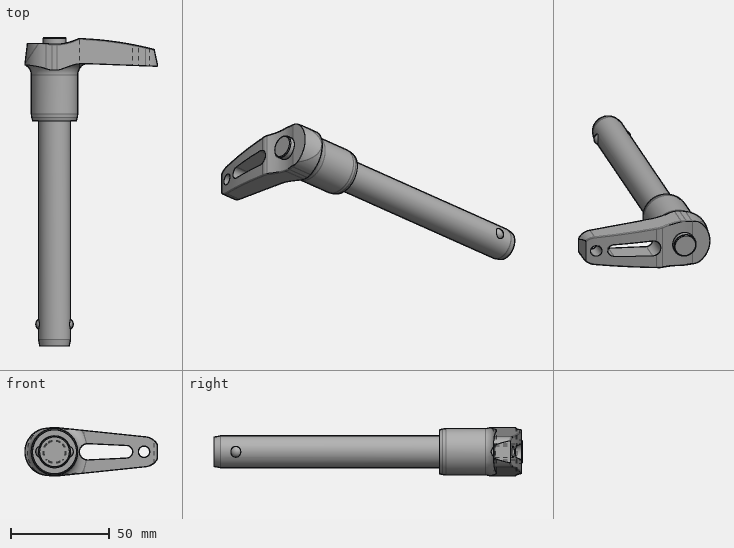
import cadquery as cq
import math

total_length = 156.2

shank_radius = 8.1
tip_radius = 7.5
tip_taper = 3.3
ball_radius = 3.0
ball_offset = 6.5
ball_from_tip = 11.1

collar_diameter = 23.6
collar_radius = collar_diameter / 2
collar_lip_radius = 11.5
collar_end_radius = 11.1
collar_lip_y = -38.7
collar_edge_y = -40.6
collar_end_y = -42.2

button_diameter = 11.7
button_radius = button_diameter / 2
button_chamfer = 0.5

hub_radius = 12.3
heel_x = -3.0
heel_radius = 12.0
tip_x = 45.3
handle_tip_radius = 7.7

blank_start_x = -15.6
heel_top_y = -3.0
dip_start_x = -4.7
dip_x = 0.5
dip_y = -3.5
crest_start = (11.7, -0.8)
crest_peak = (13.1, -0.5)
crest_end = (14.8, -0.6)
back_middle = (31.2, -2.2)
nose_top = (50.5, -6.1)
nose_bottom = (52.3, -14.7)
nose_round = 0.6
handle_bottom_y = -13.3
bottom_slope_x = 14.8
top_edge_round = 0.5

flare_radius = 5.6

heel_cone_x = -0.5
heel_cone_top_radius = 13.3
heel_cone_bottom_radius = 14.5

slot_start_x = 12.7
slot_start_radius = 4.0
slot_end_x = 39.5
slot_end_radius = 3.1
hole_radius = 2.8

core_top_y = -6.2

through_depth = 31.2


def along_pin(profile):
    """Revolve a (radius, y) profile about the pin axis."""
    return profile.close().revolve(360, (0, 0, 0), (0, 1, 0))


def tangent_hull(x_a, radius_a, x_b, radius_b):
    """Prism along -Y whose outline is two circles on the X axis joined by tangents."""
    sine = (radius_a - radius_b) / (x_b - x_a)
    cosine = math.sqrt(1 - sine**2)
    a_x, a_z = x_a + radius_a * sine, radius_a * cosine
    b_x, b_z = x_b + radius_b * sine, radius_b * cosine
    return (
        cq.Workplane("XZ")
        .moveTo(a_x, a_z)
        .lineTo(b_x, b_z)
        .threePointArc((x_b + radius_b, 0), (b_x, -b_z))
        .lineTo(a_x, -a_z)
        .threePointArc((x_a - radius_a, 0), (a_x, a_z))
        .close()
        .extrude(through_depth)
    )


def make_shank():
    tip_y = -total_length
    shank = along_pin(
        cq.Workplane("XY")
        .moveTo(0, core_top_y)
        .lineTo(shank_radius, core_top_y)
        .lineTo(shank_radius, tip_y + tip_taper)
        .lineTo(tip_radius, tip_y)
        .lineTo(0, tip_y)
    )
    for side in (-1, 1):
        ball_center = (side * ball_offset, tip_y + ball_from_tip, 0)
        shank = shank.union(cq.Workplane("XY").sphere(ball_radius).translate(ball_center))
    return shank


def make_collar():
    return along_pin(
        cq.Workplane("XY")
        .moveTo(0, handle_bottom_y)
        .lineTo(collar_radius, handle_bottom_y)
        .lineTo(collar_radius, collar_lip_y)
        .lineTo(collar_lip_radius, collar_edge_y)
        .lineTo(collar_end_radius, collar_end_y)
        .lineTo(0, collar_end_y)
    )


def make_button():
    button = cq.Workplane("XZ").circle(button_radius).extrude(-core_top_y)
    return button.faces(">Y").edges().chamfer(button_chamfer)


def make_flare():
    outer = collar_radius + flare_radius
    lower_y = handle_bottom_y - flare_radius
    diagonal = flare_radius * math.sqrt(0.5)
    return along_pin(
        cq.Workplane("XY")
        .moveTo(0, core_top_y)
        .lineTo(outer, core_top_y)
        .lineTo(outer, handle_bottom_y)
        .threePointArc((outer - diagonal, lower_y + diagonal), (collar_radius, lower_y))
        .lineTo(0, lower_y)
    )


def make_handle_side():
    """Side profile as a blank, wider and longer at the heel than the finished handle."""
    return (
        cq.Workplane("XY")
        .moveTo(blank_start_x, handle_bottom_y)
        .lineTo(blank_start_x, heel_top_y)
        .lineTo(dip_start_x, heel_top_y)
        .threePointArc((dip_x, dip_y), crest_start)
        .threePointArc(crest_peak, crest_end)
        .threePointArc(back_middle, nose_top)
        .lineTo(*nose_bottom)
        .lineTo(bottom_slope_x, handle_bottom_y)
        .close()
        .extrude(2 * hub_radius, both=True)
        .edges("|Z and >X")
        .fillet(nose_round)
    )


def make_heel_relief():
    """Material outside the heel cone, on the -X side of the pin only."""
    reach = 2 * hub_radius
    height = heel_top_y - handle_bottom_y
    middle_y = (heel_top_y + handle_bottom_y) / 2
    cone = cq.Solid.makeCone(
        heel_cone_top_radius,
        heel_cone_bottom_radius,
        height,
        pnt=cq.Vector(heel_cone_x, heel_top_y, 0),
        dir=cq.Vector(0, -1, 0),
    )
    block = (
        cq.Workplane("XY")
        .box(reach, height, 2 * reach)
        .translate((heel_cone_x - reach / 2, middle_y, 0))
    )
    return block.cut(cq.Workplane(cone))


def make_handle():
    plan = tangent_hull(0, hub_radius, tip_x, handle_tip_radius).union(
        tangent_hull(heel_x, heel_radius, 0, hub_radius)
    )
    handle = make_handle_side().union(make_flare()).intersect(plan).cut(make_heel_relief())
    long_top_edges = cq.selectors.BoxSelector(
        (dip_start_x, nose_top[1], -hub_radius), (tip_x, 0, hub_radius)
    )
    return handle.edges("not(|Y or |Z)").edges(long_top_edges).fillet(top_edge_round)


def make_openings():
    slot = tangent_hull(
        slot_start_x + slot_start_radius,
        slot_start_radius,
        slot_end_x - slot_end_radius,
        slot_end_radius,
    )
    hole = cq.Workplane("XZ").center(tip_x, 0).circle(hole_radius).extrude(through_depth)
    return slot.union(hole)


handle = make_handle().cut(make_openings())
result = handle.union(make_collar()).union(make_shank()).union(make_button())